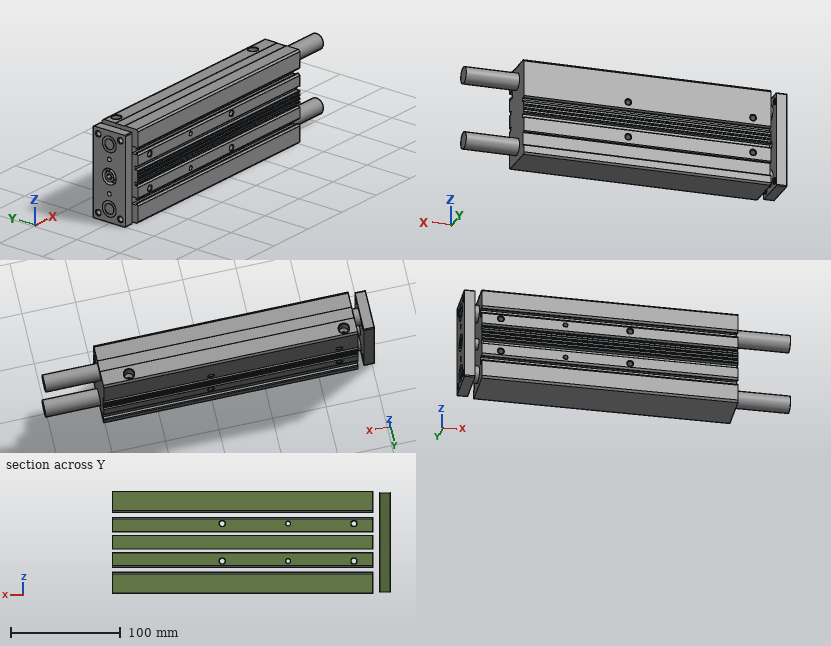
import cadquery as cq
import math


total_length = 304.5
plate_thickness = 9.7
housing_start = 15.8
housing_length = 237.5
housing_end = housing_start + housing_length
housing_width = 42.0
housing_height = 93.0
half_width = housing_width / 2
half_height = housing_height / 2
corner_chamfer = 1.8

plate_width = 37.8
plate_height = 91.0
plate_chamfer = 1.0
corner_hole_y = 12.8
corner_hole_z = 39.0
corner_hole_diameter = 5.0
corner_hole_mouth = 6.5
dowel_hole_diameter = 4.3
dowel_hole_depth = 6.0

guide_rod_diameter = 16.0
guide_rod_z = 32.0
rod_end_recess_diameter = 10.5
rod_end_recess_depth = 0.3
piston_rod_diameter = 10.5
piston_rod_end = 45.7
piston_socket_width = 5.2
piston_socket_depth = 4.5
plate_counterbore_diameter = guide_rod_diameter
plate_counterbore_depth = 6.0

sensor_slot_z = 25.0
sensor_slot_width = 4.3
sensor_slot_depth = 8.0
sensor_slot_lip = 1.8
sensor_slot_lip_depth = 1.5
sensor_slot_neck_depth = 2.7
sensor_slot_inner_width = 7.3
back_slot_z = -30.8
back_slot_width = 12.5
back_slot_depth = 3.0
back_slot_lip = 1.0
fin_recess_height = 19.0
fin_recess_depth = 4.0
fin_recess_lip = 1.2
fin_recess_lip_depth = 2.0
fin_count = 4
fin_pitch = 3.7
fin_thickness = 1.5
fin_height = 1.0
fin_block_height = (fin_count - 1) * fin_pitch + fin_thickness
top_groove_width = 10.7
top_groove_depth = 0.3

mount_hole_z = 17.0
mount_hole_x = (33.2, 153.2)
mount_hole_diameter = 5.2
mount_hole_mouth = 6.5
locating_hole_x = sum(mount_hole_x) / 2
locating_hole_diameter = 4.3
locating_hole_depth = 6.0
port_x = (27.5, 228.0)
port_y = 13.5
port_mouth = 10.5
port_diameter = 9.0
port_depth = 10.7
port_drill_diameter = 3.0
port_drill_depth = 15.2
drill_tip_angle = 118.0


def box(x_range, y_range, z_range):
    """Block between the given limits."""
    sizes = [high - low for low, high in (x_range, y_range, z_range)]
    return cq.Workplane("XY").box(*sizes, centered=False).translate((x_range[0], y_range[0], z_range[0]))


def turned(outline, start, direction):
    """Solid of revolution; the outline lists (distance along the axis, radius) from the start point."""
    normal = (0, -1, 0) if direction[1] == 0 else (1, 0, 0)
    axis_plane = cq.Plane(origin=start, xDir=direction, normal=normal)
    points = [(outline[0][0], 0), *outline]
    if outline[-1][1] > 0:
        points.append((outline[-1][0], 0))
    return cq.Workplane(axis_plane).polyline(points).close().revolve(360, (0, 0), (1, 0))


def cylinder(diameter, length, start, direction):
    radius = diameter / 2
    return turned([(0, radius), (length, radius)], start, direction)


def drilled_hole(diameter, depth, start, direction):
    """Blind hole with a conical drill tip beyond its full-diameter depth."""
    radius = diameter / 2
    tip = radius / math.tan(math.radians(drill_tip_angle / 2))
    return turned([(0, radius), (depth, radius), (depth + tip, 0)], start, direction)


def port_hole(start):
    """Chamfered port going down from the start point, with a narrow flat-bottomed hole below its tip."""
    radius = port_diameter / 2
    mouth_radius = port_mouth / 2
    drill_radius = port_drill_diameter / 2
    cone = (radius - drill_radius) / math.tan(math.radians(drill_tip_angle / 2))
    outline = [
        (0, mouth_radius),
        (mouth_radius - radius, radius),
        (port_depth, radius),
        (port_depth + cone, drill_radius),
        (port_drill_depth, drill_radius),
    ]
    return turned(outline, start, (0, 0, -1))


def chamfered_through_hole(diameter, mouth, length, start, direction):
    """Through hole with a 45 degree chamfer at both ends."""
    lip = (mouth - diameter) / 2
    outline = [(0, mouth / 2), (lip, diameter / 2), (length - lip, diameter / 2), (length, mouth / 2)]
    return turned(outline, start, direction)


def side_groove(side, z, half_profile):
    """Groove along the housing, symmetric about height z, in the -Y (side -1) or +Y (side +1) face.

    The half profile lists (depth, half width) from the surface to the floor.
    """
    upper = [(side * (half_width - depth), z + half) for depth, half in half_profile]
    lower = [(side * (half_width - depth), z - half) for depth, half in reversed(half_profile)]
    end_plane = cq.Workplane("YZ", origin=(housing_start, 0, 0))
    return end_plane.polyline(upper + lower).close().extrude(housing_length)


def sensor_slot(z):
    """T-slot with chamfered lips in the -Y face."""
    neck = sensor_slot_width / 2
    inner = sensor_slot_inner_width / 2
    half_profile = [
        (0, neck + sensor_slot_lip),
        (sensor_slot_lip_depth, neck),
        (sensor_slot_neck_depth, neck),
        (sensor_slot_neck_depth, inner),
        (sensor_slot_depth, inner),
    ]
    return side_groove(-1, z, half_profile)


def back_slot():
    """Wide slot with chamfered lips in the +Y face."""
    half = back_slot_width / 2
    half_profile = [(0, half + back_slot_lip), (back_slot_lip, half), (back_slot_depth, half)]
    return side_groove(1, back_slot_z, half_profile)


def finned_recess(side):
    """Cutter for the recess in the middle of a side face, leaving a block of shallow fins."""
    floor_half = fin_recess_height / 2
    half_profile = [
        (0, floor_half + fin_recess_lip),
        (fin_recess_lip_depth, floor_half),
        (fin_recess_depth, floor_half),
    ]
    recess = side_groove(side, 0, half_profile)
    surface = side * half_width
    groove_floor = surface - side * fin_height
    recess_floor = surface - side * fin_recess_depth
    x_range = (housing_start, housing_end)
    block = box(x_range, sorted((groove_floor, recess_floor)), (-fin_block_height / 2, fin_block_height / 2))
    recess = recess.cut(block)
    for i in range(fin_count):
        bottom = -fin_block_height / 2 + i * fin_pitch
        recess = recess.cut(box(x_range, sorted((surface, groove_floor)), (bottom, bottom + fin_thickness)))
    return recess


def make_housing():
    body = box((housing_start, housing_end), (-half_width, half_width), (-half_height, half_height))
    body = body.edges("|X").chamfer(corner_chamfer)

    for z in (-sensor_slot_z, sensor_slot_z):
        body = body.cut(sensor_slot(z))
    body = body.cut(back_slot())
    for side in (-1, 1):
        body = body.cut(finned_recess(side))
    body = body.cut(
        box(
            (housing_start, housing_end),
            (-top_groove_width / 2, top_groove_width / 2),
            (half_height - top_groove_depth, half_height),
        )
    )

    for z in (-mount_hole_z, mount_hole_z):
        for x in mount_hole_x:
            body = body.cut(
                chamfered_through_hole(
                    mount_hole_diameter, mount_hole_mouth, housing_width, (x, -half_width, z), (0, 1, 0)
                )
            )
        body = body.cut(
            drilled_hole(
                locating_hole_diameter, locating_hole_depth, (locating_hole_x, -half_width, z), (0, 1, 0)
            )
        )

    for x in port_x:
        body = body.cut(port_hole((x, port_y, half_height)))

    for z in (-guide_rod_z, guide_rod_z):
        body = body.cut(cylinder(guide_rod_diameter, housing_length, (housing_start, 0, z), (1, 0, 0)))
    bore_depth = piston_rod_end - housing_start
    return body.cut(cylinder(piston_rod_diameter, bore_depth, (housing_start, 0, 0), (1, 0, 0)))


def make_plate():
    plate = box(
        (0, plate_thickness), (-plate_width / 2, plate_width / 2), (-plate_height / 2, plate_height / 2)
    )
    plate = plate.edges("|X").chamfer(plate_chamfer)
    for z in (-guide_rod_z, guide_rod_z):
        plate = plate.cut(cylinder(guide_rod_diameter, plate_thickness, (0, 0, z), (1, 0, 0)))
    plate = plate.cut(cylinder(piston_rod_diameter, plate_thickness, (0, 0, 0), (1, 0, 0)))
    plate = plate.cut(cylinder(plate_counterbore_diameter, plate_counterbore_depth, (0, 0, 0), (1, 0, 0)))
    for y in (-corner_hole_y, corner_hole_y):
        for z in (-corner_hole_z, corner_hole_z):
            plate = plate.cut(
                chamfered_through_hole(
                    corner_hole_diameter, corner_hole_mouth, plate_thickness, (0, y, z), (1, 0, 0)
                )
            )
    for z in (-mount_hole_z, mount_hole_z):
        plate = plate.cut(drilled_hole(dowel_hole_diameter, dowel_hole_depth, (0, 0, z), (1, 0, 0)))
    return plate


def make_guide_rod(z):
    """Rod flush with the plate's outer face, with a shallow round recess in that end."""
    rod = cylinder(guide_rod_diameter, total_length, (0, 0, z), (1, 0, 0))
    return rod.cut(cylinder(rod_end_recess_diameter, rod_end_recess_depth, (0, 0, z), (1, 0, 0)))


def make_piston_rod():
    """Rod flush with the plate's outer face, with a hexagon socket in that end."""
    rod = cylinder(piston_rod_diameter, piston_rod_end, (0, 0, 0), (1, 0, 0))
    corner_diameter = piston_socket_width / math.cos(math.pi / 6)
    socket = cq.Workplane("YZ").polygon(6, corner_diameter).extrude(piston_socket_depth)
    return rod.cut(socket)


housing = make_housing()
plate = make_plate()
guide_rods = [make_guide_rod(z) for z in (-guide_rod_z, guide_rod_z)]
piston_rod = make_piston_rod()

result = cq.Compound.makeCompound(
    [housing.val(), plate.val(), *[rod.val() for rod in guide_rods], piston_rod.val()]
)